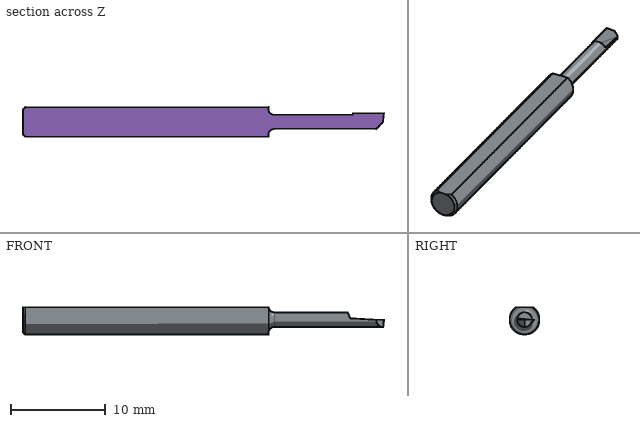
import cadquery as cq
import math

overall_length = 38.1
shank_diameter = 3.15
shank_length = 25.9
shank_chamfer = 0.23
height_over_flat = 2.9

neck_radius = 0.78
shoulder_fillet = 0.6

head_start = 34.8
head_reach = 1.03
end_corner_x = 38.0
nose_chamfer_x = 37.25

notch_start = 34.25
notch_foot = 34.6
rake_rise = 0.17

shank_radius = shank_diameter / 2
flat_height = height_over_flat - shank_radius
cut_size = 2 * shank_diameter


def turned_body():
    """Shank, shoulder fillet and neck, revolved about X."""
    fillet_top = neck_radius + shoulder_fillet
    fillet_end = shank_length + shoulder_fillet
    fillet_mid_offset = shoulder_fillet * (1 - math.sqrt(0.5))
    profile = (
        cq.Workplane("XY")
        .lineTo(0, shank_radius - shank_chamfer)
        .lineTo(shank_chamfer, shank_radius)
        .lineTo(shank_length, shank_radius)
        .lineTo(shank_length, fillet_top)
        .threePointArc(
            (shank_length + fillet_mid_offset, neck_radius + fillet_mid_offset),
            (fillet_end, neck_radius),
        )
        .lineTo(overall_length, neck_radius)
        .lineTo(overall_length, 0)
        .close()
    )
    return profile.revolve(360, (0, 0, 0), (1, 0, 0))


def shank_flat():
    """Material removed above the flat along the shank and shoulder fillet."""
    return (
        cq.Workplane("XY", origin=(0, 0, flat_height))
        .rect(2 * (shank_length + shoulder_fillet), cut_size)
        .extrude(cut_size)
    )


def head_extension():
    """Cutting lip below the axis plane, relieved along a tangent to the neck."""
    tangent_angle = math.acos(neck_radius / head_reach)
    tangent_y = neck_radius * math.cos(tangent_angle)
    tangent_z = -neck_radius * math.sin(tangent_angle)
    return (
        cq.Workplane("YZ", origin=(head_start, 0, 0))
        .lineTo(head_reach, 0)
        .lineTo(tangent_y, tangent_z)
        .close()
        .extrude(overall_length - head_start)
    )


def notch():
    """Space above the cutting face, behind a sloping runout."""
    return (
        cq.Workplane("XZ")
        .moveTo(notch_foot, 0)
        .lineTo(overall_length, 0)
        .lineTo(overall_length, neck_radius)
        .lineTo(notch_start, neck_radius)
        .close()
        .extrude(shank_radius, both=True)
    )


def rake_wedge():
    """Thin wedge left in the notch, falling to nothing along a diagonal line."""
    back = (notch_start, neck_radius, 0)
    nose = (nose_chamfer_x, -neck_radius, 0)
    low = (notch_start, -neck_radius, 0)
    peak = (notch_start, -neck_radius, rake_rise)
    corner_sets = [(back, nose, low), (back, nose, peak), (nose, low, peak), (low, back, peak)]
    faces = [cq.Face.makeFromWires(cq.Wire.makePolygon(list(c), close=True)) for c in corner_sets]
    wedge = cq.Workplane(cq.Solid.makeSolid(cq.Shell.makeShell(faces)))
    neck = cq.Workplane("YZ").circle(neck_radius).extrude(overall_length)
    return wedge.intersect(neck)


def nose_trim():
    """Material beyond the inclined end face and the nose chamfer."""
    return (
        cq.Workplane("XY", origin=(0, 0, -shank_radius))
        .moveTo(overall_length, head_reach)
        .lineTo(end_corner_x, 0)
        .lineTo(nose_chamfer_x, -neck_radius)
        .lineTo(nose_chamfer_x, -cut_size)
        .lineTo(overall_length + cut_size, -cut_size)
        .lineTo(overall_length + cut_size, head_reach)
        .close()
        .extrude(shank_diameter)
    )


body = turned_body().cut(shank_flat()).cut(notch())
result = body.union(rake_wedge()).union(head_extension()).cut(nose_trim())